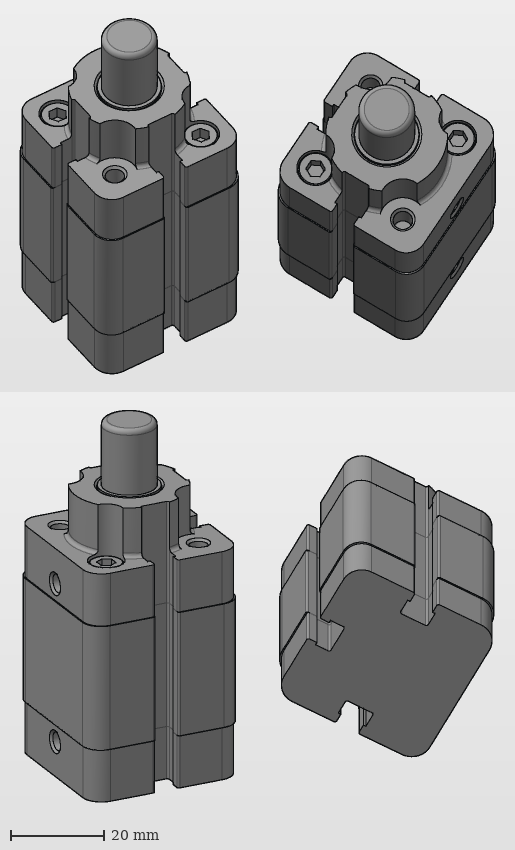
import cadquery as cq

total_height = 79.4
rear_cap_top = 12.15
barrel_top = 40.8
front_cap_top = 52.9
boss_top = 64.3

barrel_width = 36.1
cap_width = 35.6
corner_radius = 4.45

slot_opening = 5.5
slot_width = 6.7
slot_floor = 12.0
lip_underside = 15.5
slot_floor_fillet = 0.5
lip_fillet = 0.5
slot_angles = (-90, 0, 90)

boss_radius = 13.0
boss_base_fillet = 0.95

corner_offset = 11.0
screw_places = [(-corner_offset, -corner_offset), (corner_offset, corner_offset)]
thread_places = [(-corner_offset, corner_offset), (corner_offset, -corner_offset)]
thread_clearance_diameter = 10.0

thread_diameter = 4.1
thread_mouth_diameter = 5.25
thread_depth = 6.35
port_heights = (8.0, 44.6)

counterbore_diameter = 8.0
screw_diameter = 7.5
counterbore_depth = 4.4
screw_recess = 0.4
screw_chamfer = 0.2
hex_across_flats = 3.6
hex_depth = 2.8

rod_diameter = 12.0
rod_tip_fillet = 1.2
groove_inner_diameter = 13.7
groove_floor_diameter = 14.0
groove_mouth_diameter = 15.0


def make_slot_cutter(side_width, bottom, top):
    """Lipped slot facing +X, running from bottom to top, for a housing section of the given width."""
    face = side_width / 2
    height = top - bottom
    channel_depth = lip_underside - slot_floor
    channel = (
        cq.Workplane("XY", origin=(slot_floor + channel_depth / 2, 0, bottom))
        .rect(channel_depth, slot_width)
        .extrude(height)
        .edges("|Z and <X")
        .fillet(slot_floor_fillet)
    )
    half_opening = slot_opening / 2
    half_mouth = half_opening + lip_fillet
    mouth = (
        cq.Workplane("XY", origin=(0, 0, bottom))
        .moveTo(lip_underside, -half_opening)
        .lineTo(face - lip_fillet, -half_opening)
        .radiusArc((face, -half_mouth), lip_fillet)
        .lineTo(face, half_mouth)
        .radiusArc((face - lip_fillet, half_opening), lip_fillet)
        .lineTo(lip_underside, half_opening)
        .close()
        .extrude(height)
    )
    return channel.union(mouth)


def cut_slots(section, side_width, bottom, top):
    cutter = make_slot_cutter(side_width, bottom, top)
    for angle in slot_angles:
        section = section.cut(cutter.rotate((0, 0, 0), (0, 0, 1), angle))
    return section


def make_block(side_width, bottom, top):
    """Square housing section with rounded corners."""
    return (
        cq.Workplane("XY", origin=(0, 0, bottom))
        .rect(side_width, side_width)
        .extrude(top - bottom)
        .edges("|Z")
        .fillet(corner_radius)
    )


def make_boss():
    """Round boss on the front cap, flared at its base and cleared above the mounting threads."""
    boss = (
        cq.Workplane("XZ")
        .moveTo(0, front_cap_top)
        .lineTo(boss_radius + boss_base_fillet, front_cap_top)
        .radiusArc((boss_radius, front_cap_top + boss_base_fillet), boss_base_fillet)
        .lineTo(boss_radius, boss_top)
        .lineTo(0, boss_top)
        .close()
        .revolve(360, (0, 0, 0), (0, 1, 0))
    )
    thread_clearances = (
        cq.Workplane("XY", origin=(0, 0, front_cap_top))
        .pushPoints(thread_places)
        .circle(thread_clearance_diameter / 2)
        .extrude(boss_top - front_cap_top)
    )
    return boss.cut(thread_clearances)


def make_front_cap():
    """Cap block with its boss; the screw counterbores run up through the side of the boss."""
    counterbores = (
        cq.Workplane("XY", origin=(0, 0, front_cap_top - counterbore_depth))
        .pushPoints(screw_places)
        .circle(counterbore_diameter / 2)
        .extrude(boss_top - front_cap_top + counterbore_depth)
    )
    cap = make_block(cap_width, barrel_top, front_cap_top).union(make_boss()).cut(counterbores)
    return cut_slots(cap, cap_width, barrel_top, boss_top)


def make_mouthed_hole(diameter, mouth_diameter, depth):
    """Cutter for a blind hole with a 45 degree mouth, going down from the origin."""
    radius = diameter / 2
    mouth_radius = mouth_diameter / 2
    return (
        cq.Workplane("XZ")
        .polyline([
            (0, 0),
            (mouth_radius, 0),
            (radius, radius - mouth_radius),
            (radius, -depth),
            (0, -depth),
        ])
        .close()
        .revolve(360, (0, 0, 0), (0, 1, 0))
    )


def make_wiper_groove():
    """Ring cutter in the boss top around the rod: upright inner wall, 45 degree outer wall."""
    inner_radius = groove_inner_diameter / 2
    floor_radius = groove_floor_diameter / 2
    mouth_radius = groove_mouth_diameter / 2
    floor = boss_top - (mouth_radius - floor_radius)
    return (
        cq.Workplane("XZ")
        .polyline([
            (inner_radius, boss_top),
            (mouth_radius, boss_top),
            (floor_radius, floor),
            (inner_radius, floor),
        ])
        .close()
        .revolve(360, (0, 0, 0), (0, 1, 0))
    )


def make_housing():
    rear_cap = cut_slots(make_block(cap_width, 0, rear_cap_top), cap_width, 0, rear_cap_top)
    barrel = cut_slots(
        make_block(barrel_width, rear_cap_top, barrel_top), barrel_width, rear_cap_top, barrel_top
    )
    front_cap = make_front_cap()
    housing = rear_cap.union(barrel, clean=False).union(front_cap, clean=False)

    threaded_hole = make_mouthed_hole(thread_diameter, thread_mouth_diameter, thread_depth)
    for x, y in thread_places:
        housing = housing.cut(threaded_hole.translate((x, y, front_cap_top)), clean=False)
    port = threaded_hole.rotate((0, 0, 0), (0, 1, 0), -90)
    for z in port_heights:
        housing = housing.cut(port.translate((-cap_width / 2, 0, z)), clean=False)

    rod_bore = (
        cq.Workplane("XY", origin=(0, 0, barrel_top))
        .circle(rod_diameter / 2)
        .extrude(boss_top - barrel_top)
    )
    for cutter in (rod_bore, make_wiper_groove()):
        housing = housing.cut(cutter, clean=False)
    return housing


def make_rod():
    return (
        cq.Workplane("XY", origin=(0, 0, barrel_top))
        .circle(rod_diameter / 2)
        .extrude(total_height - barrel_top)
        .faces(">Z")
        .edges()
        .fillet(rod_tip_fillet)
    )


def make_screw(x, y):
    """Socket screw head seated on its counterbore floor, just below the front cap top."""
    head_top = front_cap_top - screw_recess
    head = (
        cq.Workplane("XY", origin=(x, y, front_cap_top - counterbore_depth))
        .circle(screw_diameter / 2)
        .extrude(counterbore_depth - screw_recess)
        .faces(">Z")
        .chamfer(screw_chamfer)
    )
    socket = (
        cq.Workplane("XY")
        .polygon(6, hex_across_flats, circumscribed=True)
        .extrude(-hex_depth)
        .translate((x, y, head_top))
    )
    return head.cut(socket)


housing = make_housing()
rod = make_rod()
screws = [make_screw(x, y) for x, y in screw_places]

result = cq.Compound.makeCompound([housing.val(), rod.val(), *[screw.val() for screw in screws]])